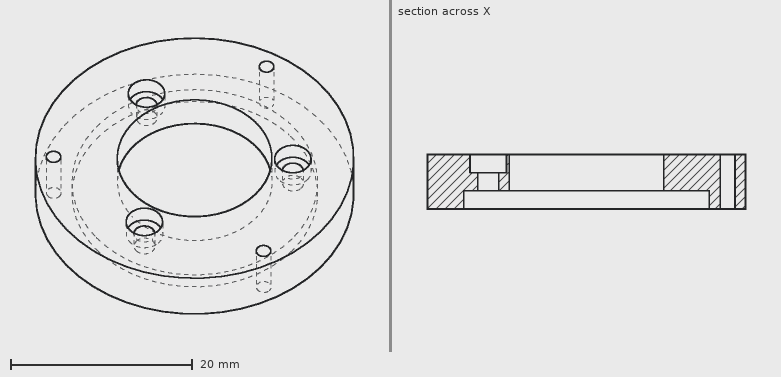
import cadquery as cq

outer_diameter = 35.0
bore_diameter = 17.0
thickness = 6.0

recess_diameter = 27.0
recess_depth = 2.0

screw_circle_radius = 10.8
screw_hole_diameter = 2.3
counterbore_diameter = 4.0
counterbore_depth = 2.0
screw_start_angle = -90.0

pin_circle_radius = 15.5
pin_hole_diameter = 1.6
pin_start_angle = 90.0

holes_per_circle = 3


def make_ring():
    """Flat ring resting on Z = 0."""
    return (
        cq.Workplane("XY")
        .circle(outer_diameter / 2)
        .circle(bore_diameter / 2)
        .extrude(thickness)
    )


def cut_recess(body):
    """Concentric recess opening at the bottom face."""
    recess = cq.Workplane("XY").circle(recess_diameter / 2).extrude(recess_depth)
    return body.cut(recess)


def hole_centres(body, circle_radius, start_angle):
    """Evenly spaced hole centres on the top face."""
    return (
        body.faces(">Z")
        .workplane(origin=(0, 0, thickness))
        .polarArray(circle_radius, start_angle, 360, holes_per_circle)
    )


def cut_screw_holes(body):
    """Through holes with counterbores sunk from the top face."""
    centres = hole_centres(body, screw_circle_radius, screw_start_angle)
    return centres.cboreHole(screw_hole_diameter, counterbore_diameter, counterbore_depth)


def cut_pin_holes(body):
    """Plain through holes, offset by half a pitch from the screw holes."""
    centres = hole_centres(body, pin_circle_radius, pin_start_angle)
    return centres.hole(pin_hole_diameter)


ring = cut_recess(make_ring())
result = cut_pin_holes(cut_screw_holes(ring))